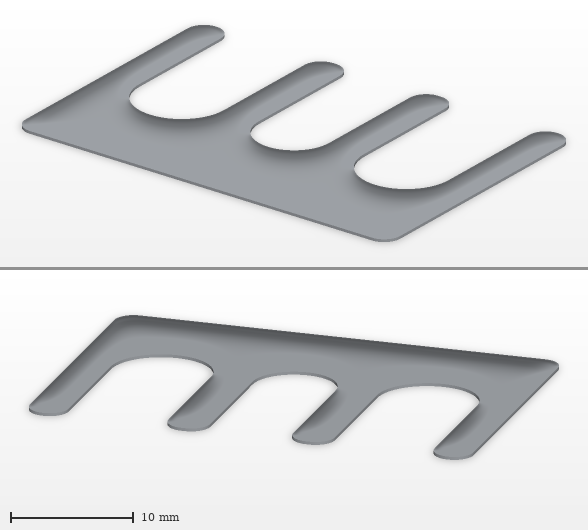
import cadquery as cq

length = 38.1
depth = 25.4
thickness = 0.25
corner_radius = 1.65

outer_slot_width = 8.57
center_slot_width = 7.12
slot_spacing = 11.43


def open_slot(x, width):
    """Cutter with a round bottom centred on mid-depth, running out of the +Y edge."""
    radius = width / 2
    return (
        cq.Workplane("XY")
        .moveTo(x - radius, depth / 2)
        .lineTo(x - radius, 0)
        .threePointArc((x, -radius), (x + radius, 0))
        .lineTo(x + radius, depth / 2)
        .close()
        .extrude(thickness)
    )


result = cq.Workplane("XY").box(length, depth, thickness, centered=(True, True, False))

slots = [
    (-slot_spacing, outer_slot_width),
    (0, center_slot_width),
    (slot_spacing, outer_slot_width),
]
for slot_x, slot_width in slots:
    result = result.cut(open_slot(slot_x, slot_width))

tip_edges = cq.selectors.BoxSelector(
    (-length, depth / 4, -thickness), (length, depth, 2 * thickness)
)
base_edges = cq.selectors.BoxSelector(
    (-length, -depth, -thickness), (length, -depth / 4, 2 * thickness)
)
result = result.edges("|Z").edges(tip_edges + base_edges).fillet(corner_radius)